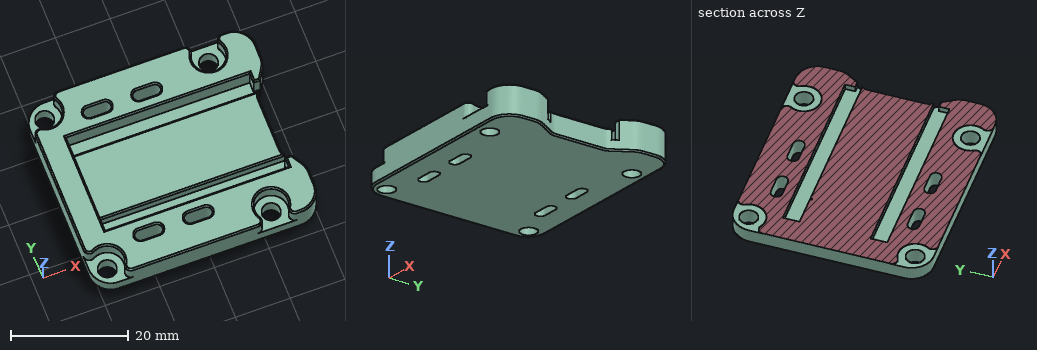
import cadquery as cq
import math

LENGTH = 41.35
WIDTH = 36.0
HEIGHT = 6.0
CORNER_RADIUS = 4.0
EDGE_CHAMFER = 0.3
CUT_MARGIN = 0.4

WAIST_X = 17.8
WAIST_HALF_WIDTH = 5.62
LOBE_HALF_GAP = 10.4
LOBE_RADIUS = 4.0
WAIST_RADIUS = 2.0

HOLE_DIAMETER = 3.25
HOLE_SPACING = 29.98
POCKET_FLOOR_Z = HEIGHT / 2
POCKET_LIP_RADIUS = 1.05

RECESS_X_MIN = -15.9
RECESS_X_MAX = 17.7
RECESS_WIDTH = 18.75
MOUTH_WIDTH = 15.05
GROOVE_FLOOR_Z = 2.0
PLATFORM_WIDTH = 12.85
PLATFORM_Z = 4.2

SLOT_LENGTH = 5.0
SLOT_WIDTH = 2.0
SLOT_X = (-9.05, 0.0)
SLOT_Y = 12.32

hole_y = HOLE_SPACING / 2
pocket_radius = WIDTH / 2 - hole_y
hole_x_left = -LENGTH / 2 + pocket_radius
hole_x_right = hole_x_left + HOLE_SPACING


def plate(height):
    """Plate with rounded corners and a waist in the +X end, chamfered round the bottom."""
    end_x = LENGTH / 2
    half_width = WIDTH / 2
    blank = (
        cq.Workplane("XY")
        .polyline([
            (-end_x, -half_width),
            (end_x, -half_width),
            (end_x, -LOBE_HALF_GAP),
            (WAIST_X, -WAIST_HALF_WIDTH),
            (WAIST_X, WAIST_HALF_WIDTH),
            (end_x, LOBE_HALF_GAP),
            (end_x, half_width),
            (-end_x, half_width),
        ])
        .close()
        .extrude(height)
    )
    rounded_corners = [
        (-end_x, half_width, CORNER_RADIUS),
        (end_x, half_width, CORNER_RADIUS),
        (end_x, LOBE_HALF_GAP, LOBE_RADIUS),
        (WAIST_X, WAIST_HALF_WIDTH, WAIST_RADIUS),
    ]
    for x, y, radius in rounded_corners:
        for corner_y in (-y, y):
            nearest = cq.selectors.NearestToPointSelector((x, corner_y, height / 2))
            blank = blank.edges(nearest).fillet(radius)
    return blank.faces("<Z").chamfer(EDGE_CHAMFER)


lip_x = 2 * math.sqrt(pocket_radius * POCKET_LIP_RADIUS)
lip_centre_y = pocket_radius - POCKET_LIP_RADIUS
lip_angle = math.atan2(lip_centre_y, lip_x)
lip_start = (pocket_radius * math.cos(lip_angle), pocket_radius * math.sin(lip_angle))
lip_mid_angle = (math.pi / 2 + math.pi + lip_angle) / 2
lip_mid = (
    lip_x + POCKET_LIP_RADIUS * math.cos(lip_mid_angle),
    lip_centre_y + POCKET_LIP_RADIUS * math.sin(lip_mid_angle),
)
lip_end = (lip_x, pocket_radius)
outside = pocket_radius + CUT_MARGIN


def pocket(x, far_lip, deepest, beyond):
    """Pocket around the +Y hole at x, from the +X lip round to the far lip."""
    far_start, far_mid, far_end = far_lip
    return (
        cq.Workplane("XY", origin=(x, hole_y, POCKET_FLOOR_Z))
        .moveTo(*lip_end)
        .threePointArc(lip_mid, lip_start)
        .threePointArc(deepest, far_start)
        .threePointArc(far_mid, far_end)
        .polyline(beyond + [(lip_x, outside)], includeCurrent=True)
        .close()
        .extrude(HEIGHT)
    )


def corner_pocket():
    """Pocket that takes away the whole plate corner."""
    far_lip = [(-y, -x) for x, y in (lip_start, lip_mid, lip_end)]
    diagonal = pocket_radius * math.sqrt(0.5)
    beyond = [(-outside, -lip_x), (-outside, outside)]
    return pocket(hole_x_left, far_lip, (diagonal, -diagonal), beyond)


def edge_pocket():
    """Pocket that opens through the long side only."""
    far_lip = [(-x, y) for x, y in (lip_start, lip_mid, lip_end)]
    return pocket(hole_x_right, far_lip, (0, -pocket_radius), [(-lip_x, outside)])


def box(x_min, x_max, width, z_min, z_max):
    """Box centred on the X axis."""
    return (
        cq.Workplane("XY", origin=((x_min + x_max) / 2, 0, z_min))
        .rect(x_max - x_min, width)
        .extrude(z_max - z_min)
    )


def recess():
    """Recess and its open mouth, reaching down to the groove floor."""
    top = HEIGHT + CUT_MARGIN
    main = box(RECESS_X_MIN, RECESS_X_MAX, RECESS_WIDTH, GROOVE_FLOOR_Z, top)
    mouth = box(RECESS_X_MIN, LENGTH / 2, MOUTH_WIDTH, GROOVE_FLOOR_Z, top)
    return main.union(mouth)


def platform():
    """Raised middle of the recess, following the waist, with chamfered top edges."""
    block = box(RECESS_X_MIN, LENGTH / 2, PLATFORM_WIDTH, 0, PLATFORM_Z)
    block = block.faces(">Z").edges("|X").chamfer(EDGE_CHAMFER)
    low_plate = plate(PLATFORM_Z).faces(">Z").chamfer(EDGE_CHAMFER)
    return low_plate.intersect(block)


def through_holes():
    """Four screw holes."""
    return (
        cq.Workplane("XY")
        .pushPoints([(x, y) for x in (hole_x_left, hole_x_right) for y in (-hole_y, hole_y)])
        .circle(HOLE_DIAMETER / 2)
        .extrude(HEIGHT)
    )


def through_slots():
    """Two slots along each long side."""
    return (
        cq.Workplane("XY")
        .pushPoints([(x, y) for x in SLOT_X for y in (-SLOT_Y, SLOT_Y)])
        .slot2D(SLOT_LENGTH, SLOT_WIDTH)
        .extrude(HEIGHT)
    )


body = plate(HEIGHT)
for cutter in (corner_pocket(), edge_pocket()):
    body = body.cut(cutter).cut(cutter.mirror("XZ"))
body = body.cut(recess()).cut(through_slots())
body = body.faces(">Z").chamfer(EDGE_CHAMFER)
body = body.union(platform())
result = body.cut(through_holes())